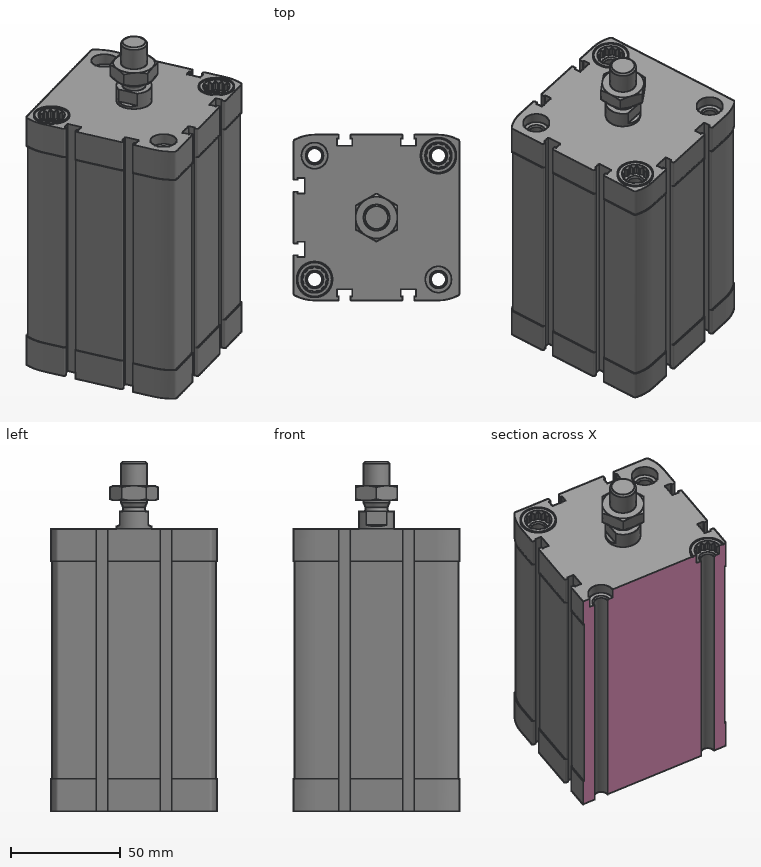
import cadquery as cq
import math

side = 75.5
total_height = 159.0
housing_height = 128.5

cap_height = 14.8
tube_inset = 0.5
corner_radius = 20.0
corner_start = 27.8
edge_rounding = 1.3

slot_offset = 14.5
slot_mouth = 5.2
slot_width = 6.8
slot_lip = 1.9
slot_depth = 5.1
slot_rounding = 0.5

screw_offset = 28.1
through_diameter = 6.7
countersink_diameter = 8.1
recess_depth = 5.1
counterbore_diameter = 12.0

ring_groove_diameter = 16.4
ring_foot_diameter = 16.0
ring_top_diameter = 15.5
ring_groove_depth = 0.5
socket_points = 12
socket_outer_diameter = 12.0
socket_inner_diameter = 10.3
socket_bore_diameter = 10.7
socket_mouth_diameter = 12.2
socket_mouth_depth = 1.5

rod_diameter = 16.0
rod_shoulder_height = 8.0
flat_distance = 13.0
flat_start_height = 1.1
flat_runout_height = 0.6
neck_diameter = 10.2
neck_foot_diameter = 10.7
neck_foot_height = 1.0
neck_height = 1.0
neck_cone_height = 2.0
thread_diameter = 12.0
thread_chamfer = 0.8
thread_chamfer_height = 1.0

nut_width = 19.0
nut_height = 6.7
nut_base = 141.4
nut_chamfer_height = 0.6


def plain_block(inset, height):
    """Square prism whose Y faces curve in towards the four rounded corners."""
    half = side / 2 - inset
    radius = corner_radius - inset
    arc_center_y = half - radius
    end_angle = math.acos((half - corner_start) / radius)
    middle_angle = (math.pi / 2 + end_angle) / 2
    end_y = arc_center_y + radius * math.sin(end_angle)
    middle_x = corner_start + radius * math.cos(middle_angle)
    middle_y = arc_center_y + radius * math.sin(middle_angle)
    return (
        cq.Workplane("XY")
        .moveTo(-corner_start, half)
        .lineTo(corner_start, half)
        .threePointArc((middle_x, middle_y), (half, end_y))
        .lineTo(half, -end_y)
        .threePointArc((middle_x, -middle_y), (corner_start, -half))
        .lineTo(-corner_start, -half)
        .threePointArc((-middle_x, -middle_y), (-half, -end_y))
        .lineTo(-half, end_y)
        .threePointArc((-middle_x, middle_y), (-corner_start, half))
        .close()
        .extrude(height)
        .faces("<X or >X")
        .edges("|Z")
        .fillet(edge_rounding)
    )


def t_slot(inset, height, offset):
    """Cutter for a T-slot with rounded lips, opening on the +Y face."""
    face = side / 2 - inset
    floor = side / 2 - slot_depth
    lip = side / 2 - slot_lip
    mouth_half = slot_mouth / 2
    width_half = slot_width / 2
    flare_half = mouth_half + slot_rounding
    return (
        cq.Workplane("XY")
        .moveTo(-width_half, floor)
        .lineTo(width_half, floor)
        .lineTo(width_half, lip)
        .lineTo(mouth_half, lip)
        .lineTo(mouth_half, face - slot_rounding)
        .radiusArc((flare_half, face), slot_rounding)
        .lineTo(-flare_half, face)
        .radiusArc((-mouth_half, face - slot_rounding), slot_rounding)
        .lineTo(-mouth_half, lip)
        .lineTo(-width_half, lip)
        .close()
        .extrude(height)
        .translate((offset, 0, 0))
    )


def slotted_block(inset, height):
    """Block with two T-slots on each of the +Y, -X and -Y faces."""
    block = plain_block(inset, height)
    for turn in (0, 90, 180):
        for offset in (-slot_offset, slot_offset):
            block = block.cut(t_slot(inset, height, offset).rotate((0, 0, 0), (0, 0, 1), turn))
    return block


def cylinder(diameter, base, height):
    """Cylinder on the Z axis."""
    return cq.Workplane("XY", origin=(0, 0, base)).circle(diameter / 2).extrude(height)


def cone(bottom_diameter, top_diameter, base, height):
    """Truncated cone on the Z axis."""
    start = cq.Vector(0, 0, base)
    return cq.Workplane(cq.Solid.makeCone(bottom_diameter / 2, top_diameter / 2, height, start))


def screw_hole():
    """Through hole with a countersunk edge below the recess."""
    floor = housing_height - recess_depth
    sink = (countersink_diameter - through_diameter) / 2
    hole = cylinder(through_diameter, 0, housing_height)
    return hole.union(cone(through_diameter, countersink_diameter, floor - sink, sink))


def counterbore():
    """Flat-bottomed recess for a screw head."""
    return cylinder(counterbore_diameter, housing_height - recess_depth, recess_depth)


def toothed_socket():
    """Twelve-pointed recess with blunted teeth and a chamfered mouth."""
    points = []
    for i in range(2 * socket_points):
        angle = math.pi * i / socket_points
        diameter = socket_inner_diameter if i % 2 else socket_outer_diameter
        points.append((diameter / 2 * math.cos(angle), diameter / 2 * math.sin(angle)))
    floor = housing_height - recess_depth
    socket = cq.Workplane("XY", origin=(0, 0, floor)).polyline(points).close().extrude(recess_depth)
    bore = cylinder(socket_bore_diameter, floor, recess_depth)
    mouth_base = housing_height - socket_mouth_depth
    mouth = cone(socket_bore_diameter, socket_mouth_diameter, mouth_base, socket_mouth_depth)
    return socket.union(bore).union(mouth)


def ring_groove():
    """Narrow groove with a sloping inner wall."""
    base = housing_height - ring_groove_depth
    groove = cylinder(ring_groove_diameter, base, ring_groove_depth)
    return groove.cut(cone(ring_foot_diameter, ring_top_diameter, base, ring_groove_depth))


def make_housing():
    """Capped tube with slots along three sides and a screw hole in each corner."""
    tube_height = housing_height - 2 * cap_height
    housing = slotted_block(tube_inset, tube_height).translate((0, 0, cap_height))
    for base in (0, housing_height - cap_height):
        housing = housing.union(slotted_block(0, cap_height).translate((0, 0, base)))
    for x_sign in (-1, 1):
        for y_sign in (-1, 1):
            place = (x_sign * screw_offset, y_sign * screw_offset, 0)
            housing = housing.cut(screw_hole().translate(place))
            if x_sign == y_sign:
                housing = housing.cut(toothed_socket().translate(place))
                housing = housing.cut(ring_groove().translate(place))
            else:
                housing = housing.cut(counterbore().translate(place))
    return housing


def make_rod():
    """Turned rod standing on the housing, with two spanner flats."""
    shoulder = housing_height + rod_shoulder_height
    neck_base = shoulder + neck_foot_height
    neck_top = neck_base + neck_height
    thread_base = neck_top + neck_cone_height
    thread_radius = thread_diameter / 2
    profile = [
        (0, housing_height),
        (rod_diameter / 2, housing_height),
        (rod_diameter / 2, shoulder),
        (neck_foot_diameter / 2, shoulder),
        (neck_diameter / 2, neck_base),
        (neck_diameter / 2, neck_top),
        (thread_radius, thread_base),
        (thread_radius, total_height - thread_chamfer_height),
        (thread_radius - thread_chamfer, total_height),
        (0, total_height),
    ]
    rod = cq.Workplane("XZ").polyline(profile).close().revolve(360, (0, 0), (0, 1))
    flat_base = housing_height + flat_start_height
    flat_profile = [
        (rod_diameter / 2, flat_base),
        (flat_distance / 2, flat_base + flat_runout_height),
        (flat_distance / 2, shoulder),
        (rod_diameter / 2, shoulder),
    ]
    flat = cq.Workplane("YZ").polyline(flat_profile).close().extrude(rod_diameter / 2, both=True)
    return rod.cut(flat).cut(flat.mirror("XZ"))


def make_nut():
    """Hexagon nut with corners on the Y axis, chamfered on both faces."""
    corner_diameter = nut_width / math.cos(math.pi / 6)
    nut = cq.Workplane("XY").polygon(6, corner_diameter).extrude(nut_height).rotate((0, 0, 0), (0, 0, 1), 30)
    straight = nut_height - 2 * nut_chamfer_height
    envelope = (
        cone(nut_width, corner_diameter, 0, nut_chamfer_height)
        .union(cylinder(corner_diameter, nut_chamfer_height, straight))
        .union(cone(corner_diameter, nut_width, nut_height - nut_chamfer_height, nut_chamfer_height))
    )
    bore = cylinder(thread_diameter, 0, nut_height)
    return nut.intersect(envelope).cut(bore).translate((0, 0, nut_base))


housing = make_housing()
rod = make_rod()
nut = make_nut()

result = cq.Compound.makeCompound([body.solids().val() for body in (housing, rod, nut)])